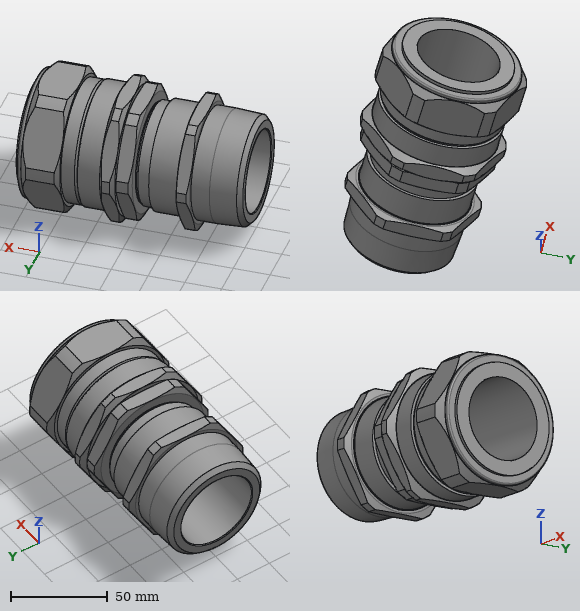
import cadquery as cq
import math


LENGTH = 122.2
BORE_RADIUS = 22.2
BORE_CHAMFER = 0.5

ENTRY_CHAMFER_LENGTH = 2.6
TAPER_START_RADIUS = 29.7
ENTRY_END_RADIUS = TAPER_START_RADIUS - ENTRY_CHAMFER_LENGTH
TAPER_END = 17.1
ENTRY_RADIUS = 30.4

LOCK_NUT_START = 27.1
LOCK_NUT_END = 34.6
LOCK_NUT_SEAT_LENGTH = 0.4
LOCK_NUT_FLATS = 64.9
SMALL_NUT_CORNER_RADIUS = 35.9
SLEEVE_END = 50.2
SLEEVE_RADIUS = 30.0

NECK_CHAMFER = 1.1
NECK_END = 57.8
NECK_RADIUS = 28.1

MIDDLE_NUT_START = 58.4
MIDDLE_NUT_END = 66.7
MIDDLE_NUT_FLATS = 65.4
BODY_NUT_START = 67.0
BODY_NUT_END = 75.6
LARGE_NUT_FLATS = 70.1
LARGE_NUT_CORNER_DIAMETER = 77.1
LARGE_NUT_CORNER_RADIUS = LARGE_NUT_CORNER_DIAMETER / 2

COLLAR_END = 87.7
COLLAR_RADIUS = 33.8
GROOVE_WIDTH = 0.7
GROOVE_RADIUS = 32.1
BARREL_CHAMFER = 1.1
BARREL_RADIUS = GROOVE_RADIUS + BARREL_CHAMFER

CAP_NUT_START = 96.9
CAP_NUT_END = 118.2
RING_END = 120.4
RING_FILLET = 0.9
RING_RADIUS = 34.7
TUBE_RADIUS = 30.1

LOCK_NUT_START_CHAMFER = (0.9, 32.4)
LOCK_NUT_END_CHAMFER = (1.1, 31.8)
MIDDLE_NUT_START_CHAMFER = (1.1, 32.4)
MIDDLE_NUT_END_CHAMFER = (0.6, 32.7)
LARGE_NUT_START_CHAMFER = (2.0, LARGE_NUT_FLATS / 2)
BODY_NUT_END_CHAMFER = (2.6, 34.1)
CAP_NUT_END_CHAMFER = (3.8, 35.0)


def revolve_profile(points):
    """Revolve (x, radius) points, closed along the X axis, about that axis."""
    start_x = points[0][0]
    end_x = points[-1][0]
    outline = [(start_x, 0), *points, (end_x, 0)]
    return cq.Workplane("XY").polyline(outline).close().revolve(360, (0, 0, 0), (1, 0, 0))


def hex_nut(start, end, flats, corner_radius, start_chamfer, end_chamfer):
    """Hexagon with rounded corners; each chamfer is (length, radius at the face)."""
    start_length, start_radius = start_chamfer
    end_length, end_radius = end_chamfer
    corner_diameter = flats / math.cos(math.radians(30))
    hexagon = (
        cq.Workplane("YZ")
        .workplane(offset=start)
        .polygon(6, corner_diameter)
        .extrude(end - start)
    )
    envelope = revolve_profile([
        (start, start_radius),
        (start + start_length, corner_radius),
        (end - end_length, corner_radius),
        (end, end_radius),
    ])
    return hexagon.intersect(envelope)


def turned_body():
    """Solid stepped body, from the entry thread to the end tube."""
    seat_end = LOCK_NUT_END + LOCK_NUT_SEAT_LENGTH
    neck_chamfer_start = NECK_END - NECK_CHAMFER
    neck_end_radius = NECK_RADIUS - NECK_CHAMFER
    groove_end = COLLAR_END + GROOVE_WIDTH
    return revolve_profile([
        (0, ENTRY_END_RADIUS),
        (ENTRY_CHAMFER_LENGTH, TAPER_START_RADIUS),
        (TAPER_END, ENTRY_RADIUS),
        (seat_end, ENTRY_RADIUS),
        (seat_end, SLEEVE_RADIUS),
        (SLEEVE_END, SLEEVE_RADIUS),
        (SLEEVE_END, NECK_RADIUS),
        (neck_chamfer_start, NECK_RADIUS),
        (NECK_END, neck_end_radius),
        (BODY_NUT_START, neck_end_radius),
        (BODY_NUT_START, COLLAR_RADIUS),
        (COLLAR_END, COLLAR_RADIUS),
        (COLLAR_END, GROOVE_RADIUS),
        (groove_end, GROOVE_RADIUS),
        (groove_end + BARREL_CHAMFER, BARREL_RADIUS),
        (CAP_NUT_END, BARREL_RADIUS),
        (CAP_NUT_END, TUBE_RADIUS),
        (LENGTH, TUBE_RADIUS),
    ])


def end_ring():
    """Ring behind the cap nut, rounded on its outer end edge."""
    ring = (
        cq.Workplane("YZ")
        .workplane(offset=CAP_NUT_START)
        .circle(RING_RADIUS)
        .extrude(RING_END - CAP_NUT_START)
    )
    return ring.faces(">X").edges().fillet(RING_FILLET)


def nuts():
    """The four nuts in order along X."""
    lock_nut = hex_nut(
        LOCK_NUT_START, LOCK_NUT_END, LOCK_NUT_FLATS, SMALL_NUT_CORNER_RADIUS,
        LOCK_NUT_START_CHAMFER, LOCK_NUT_END_CHAMFER,
    )
    middle_nut = hex_nut(
        MIDDLE_NUT_START, MIDDLE_NUT_END, MIDDLE_NUT_FLATS, SMALL_NUT_CORNER_RADIUS,
        MIDDLE_NUT_START_CHAMFER, MIDDLE_NUT_END_CHAMFER,
    )
    body_nut = hex_nut(
        BODY_NUT_START, BODY_NUT_END, LARGE_NUT_FLATS, LARGE_NUT_CORNER_RADIUS,
        LARGE_NUT_START_CHAMFER, BODY_NUT_END_CHAMFER,
    )
    cap_nut = hex_nut(
        CAP_NUT_START, CAP_NUT_END, LARGE_NUT_FLATS, LARGE_NUT_CORNER_RADIUS,
        LARGE_NUT_START_CHAMFER, CAP_NUT_END_CHAMFER,
    )
    return [lock_nut, middle_nut, body_nut, cap_nut]


def bore():
    """Through bore with a small chamfer at the entry."""
    return revolve_profile([
        (0, BORE_RADIUS + BORE_CHAMFER),
        (BORE_CHAMFER, BORE_RADIUS),
        (LENGTH, BORE_RADIUS),
    ])


result = turned_body().union(end_ring())
for nut in nuts():
    result = result.union(nut)
result = result.cut(bore())